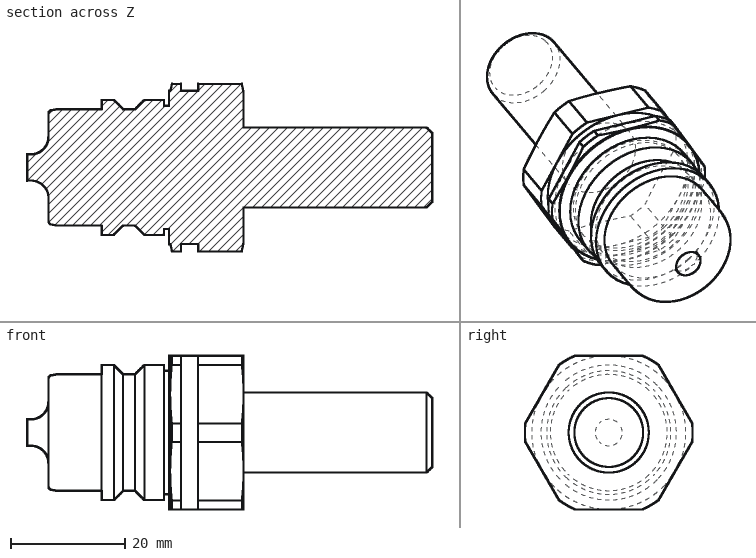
import cadquery as cq
import math

total_length = 71.0

tip_radius = 2.35
tip_length = 0.7
flare_radius = 3.0

nose_face_x = tip_length + flare_radius
nose_radius = 10.2
rim_radius = 10.1
rim_rounding = 0.7
taper_end_x = 5.1

collar_radius = 11.85
front_collar_x = 13.05
front_collar_width = 2.1
rear_collar_x = 20.5
rear_collar_end_x = 24.0
groove_radius = nose_radius
groove_slope = collar_radius - groove_radius
neck_radius = 10.85

hex_start_x = 24.85
hex_end_x = 37.9
hex_flats = 27.0
hex_corner_diameter = 29.5
relief_start_x = 27.0
relief_end_x = 29.95
hex_step_length = 0.2
hex_chamfer_length = 0.3

tail_radius = 7.0
tail_chamfer = 1.0


def make_body():
    """Revolve the stepped profile of the nozzle, collars, neck and tail."""
    diagonal = math.sqrt(0.5)
    flare_mid = (
        tip_length + flare_radius * diagonal,
        tip_radius + flare_radius * (1 - diagonal),
    )
    rim_mid = (
        nose_face_x + rim_rounding * (1 - diagonal),
        rim_radius - rim_rounding * (1 - diagonal),
    )
    front_collar_end_x = front_collar_x + front_collar_width
    profile = (
        cq.Workplane("XY")
        .lineTo(0, tip_radius)
        .lineTo(tip_length, tip_radius)
        .threePointArc(flare_mid, (nose_face_x, tip_radius + flare_radius))
        .lineTo(nose_face_x, rim_radius - rim_rounding)
        .threePointArc(rim_mid, (nose_face_x + rim_rounding, rim_radius))
        .lineTo(taper_end_x, nose_radius)
        .lineTo(front_collar_x, nose_radius)
        .lineTo(front_collar_x, collar_radius)
        .lineTo(front_collar_end_x, collar_radius)
        .lineTo(front_collar_end_x + groove_slope, groove_radius)
        .lineTo(rear_collar_x - groove_slope, groove_radius)
        .lineTo(rear_collar_x, collar_radius)
        .lineTo(rear_collar_end_x, collar_radius)
        .lineTo(rear_collar_end_x, neck_radius)
        .lineTo(hex_start_x, neck_radius)
        .lineTo(hex_start_x, tail_radius)
        .lineTo(total_length - tail_chamfer, tail_radius)
        .lineTo(total_length, tail_radius - tail_chamfer)
        .lineTo(total_length, 0)
        .close()
    )
    return profile.revolve(360, (0, 0, 0), (1, 0, 0))


def make_hexagon():
    """Trim a hexagonal bar, flats facing +Z and -Z, with a turned envelope."""
    sharp_corner_radius = hex_flats / 2 / math.cos(math.pi / 6)
    corners = []
    for index in range(6):
        angle = index * math.pi / 3
        corner_y = sharp_corner_radius * math.cos(angle)
        corner_z = sharp_corner_radius * math.sin(angle)
        corners.append((corner_y, corner_z))
    bar = (
        cq.Workplane("YZ", origin=(hex_start_x, 0, 0))
        .polyline(corners)
        .close()
        .extrude(hex_end_x - hex_start_x)
    )
    flat_radius = hex_flats / 2
    corner_radius = hex_corner_diameter / 2
    step_end_x = hex_start_x + hex_step_length
    envelope = (
        cq.Workplane("XY")
        .moveTo(hex_start_x, 0)
        .lineTo(hex_start_x, flat_radius)
        .lineTo(step_end_x, flat_radius)
        .lineTo(step_end_x + hex_chamfer_length, corner_radius)
        .lineTo(relief_start_x, corner_radius)
        .lineTo(relief_start_x, flat_radius)
        .lineTo(relief_end_x, flat_radius)
        .lineTo(relief_end_x, corner_radius)
        .lineTo(hex_end_x - hex_chamfer_length, corner_radius)
        .lineTo(hex_end_x, flat_radius)
        .lineTo(hex_end_x, 0)
        .close()
        .revolve(360, (0, 0, 0), (1, 0, 0))
    )
    return bar.intersect(envelope)


result = make_body().union(make_hexagon())